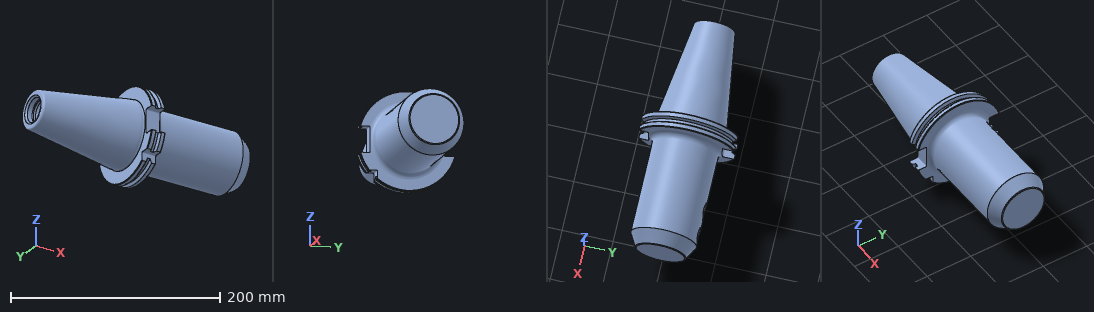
import cadquery as cq
import math

total_length = 231.5
taper_length = 100.5
gauge_position = 102.0
flare_start = 103.3
flange_start = 105.0
flange_end = 120.5
nose_start = 218.0

taper_half_angle = math.degrees(math.atan(7 / 48))
gauge_radius = 35.0
body_radius = 32.5
flange_diameter = 97.5
flange_radius = flange_diameter / 2
nose_angle = 30.0
small_end_rounding = 2.0
collar_flare = 0.5
shoulder_fillet = 5.8
flange_chamfer = 0.7
nose_chamfer = 0.7

groove_center = 112.8
groove_depth = 3.2
groove_floor_width = 2.8
groove_wall_angle = 27.0

slot_width = 25.7
slot_floor_back = 35.2
slot_floor_front = 37.0
notch_y = -29.6
notch_z = -29.6
cut_corner_fillet = 1.5

bore_mouth_radius = 14.4
mouth_step_radius = 13.7
pilot_radius = 12.5
relief_radius = 11.8
thread_radius = 10.5
mouth_step_depth = 0.5
mouth_depth = 1.9
pilot_depth = 7.2
relief_start = 8.0
relief_end = 10.7
thread_start = 13.5
bore_depth = 46.3
drill_point_angle = 59.0

screw_hole_radius = 9.0
screw_hole_positions = (182.5, 207.5)
screw_hole_depth = 20.0


def make_outer_body():
    """Revolved taper, flange blank, cylindrical body and nose."""
    transition_slope = math.tan(math.radians(taper_half_angle / 2))
    taper_end_radius = gauge_radius - (gauge_position - taper_length) * transition_slope
    small_end_radius = taper_end_radius - taper_length * math.tan(math.radians(taper_half_angle))
    nose_drop = (total_length - nose_start) * math.tan(math.radians(nose_angle))
    nose_radius = body_radius - nose_drop
    profile = (
        cq.Workplane("XY")
        .lineTo(0, small_end_radius)
        .lineTo(taper_length, taper_end_radius)
        .tangentArcPoint((gauge_position, gauge_radius), relative=False)
        .lineTo(flare_start, gauge_radius)
        .lineTo(flange_start, gauge_radius + collar_flare)
        .lineTo(flange_start, flange_radius - flange_chamfer)
        .lineTo(flange_start + flange_chamfer, flange_radius)
        .lineTo(flange_end - flange_chamfer, flange_radius)
        .lineTo(flange_end, flange_radius - flange_chamfer)
        .lineTo(flange_end, body_radius + shoulder_fillet)
        .radiusArc((flange_end + shoulder_fillet, body_radius), -shoulder_fillet)
        .lineTo(nose_start, body_radius)
        .lineTo(total_length, nose_radius)
        .lineTo(total_length, 0)
        .close()
    )
    body = profile.revolve(360, (0, 0, 0), (1, 0, 0))
    body = body.faces("<X").edges().fillet(small_end_rounding)
    return body.faces(">X").edges().chamfer(nose_chamfer)


def make_groove():
    """Ring with a trapezoidal section that forms the flange groove."""
    floor_half = groove_floor_width / 2
    wall_run = groove_depth * math.tan(math.radians(groove_wall_angle))
    floor_radius = flange_radius - groove_depth
    return (
        cq.Workplane("XY")
        .polyline([
            (groove_center - floor_half, floor_radius),
            (groove_center - floor_half - wall_run, flange_radius),
            (groove_center + floor_half + wall_run, flange_radius),
            (groove_center + floor_half, floor_radius),
        ])
        .close()
        .revolve(360, (0, 0, 0), (1, 0, 0))
    )


def make_flange_block(y_min, y_max, z_min, z_max):
    """Cutting block through the collar flare, flange and shoulder fillet, with rounded X edges."""
    block_length = flange_end + shoulder_fillet - flare_start
    return (
        cq.Workplane("XY")
        .box(block_length, y_max - y_min, z_max - z_min, centered=False)
        .translate((flare_start, y_min, z_min))
        .edges("|X")
        .fillet(cut_corner_fillet)
    )


def make_flange_cuts():
    """Two opposite drive slots and the corner notch."""
    outside = flange_radius + 2 * cut_corner_fillet
    half_width = slot_width / 2
    back_slot = make_flange_block(slot_floor_back, outside, -half_width, half_width)
    front_slot = make_flange_block(-outside, -slot_floor_front, -half_width, half_width)
    notch = make_flange_block(-outside, notch_y, -outside, notch_z)
    return back_slot.union(front_slot).union(notch)


def make_pull_stud_bore():
    """Stepped bore with a conical mouth and a drill point."""
    point_length = thread_radius / math.tan(math.radians(drill_point_angle))
    return (
        cq.Workplane("XY")
        .polyline([
            (0, 0),
            (0, bore_mouth_radius),
            (mouth_step_depth, mouth_step_radius),
            (mouth_depth, pilot_radius),
            (pilot_depth, pilot_radius),
            (relief_start, relief_radius),
            (relief_end, relief_radius),
            (thread_start, thread_radius),
            (bore_depth, thread_radius),
            (bore_depth + point_length, 0),
        ])
        .close()
        .revolve(360, (0, 0, 0), (1, 0, 0))
    )


def make_screw_hole(position):
    """Blind radial hole entering from the +Y side."""
    hole_floor = body_radius - screw_hole_depth
    start = cq.Vector(position, hole_floor, 0)
    hole = cq.Solid.makeCylinder(screw_hole_radius, screw_hole_depth, start, cq.Vector(0, 1, 0))
    return cq.Workplane(hole)


result = make_outer_body()
result = result.cut(make_groove())
result = result.cut(make_flange_cuts())
result = result.cut(make_pull_stud_bore())
for hole_position in screw_hole_positions:
    result = result.cut(make_screw_hole(hole_position))